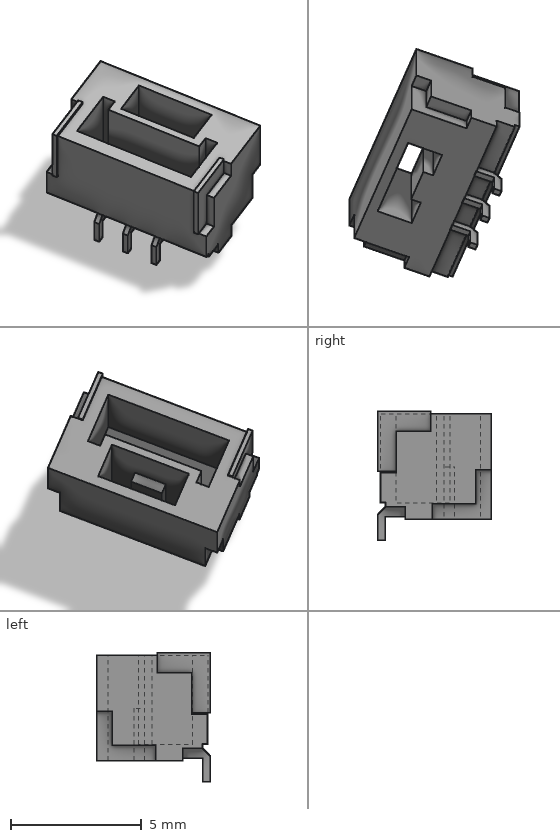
import cadquery as cq

length = 7.0
depth = 4.25
height = 4.045

lip_bottom = 0.645
lip_depth = 0.195
foot_top = 0.48
foot_front = 0.95

socket_length = 4.99
socket_front = 0.59
socket_back = 2.65
tongue_length = 3.98
tongue_front = 2.15
socket_floor = lip_bottom

window_length = 3.18
window_front = 2.435
window_back = 3.835
latch_length = 1.275
latch_back = 2.835
latch_top = height / 2

recess_depth = 0.5
plate_thickness = 0.19
overhang = 0.1
upper_back = 1.94
upper_arm_bottom = 3.38
upper_leg_back = 0.6
upper_bottom = 1.79
plate_bottom = 1.84
lower_front = 1.99
lower_arm_top = 0.595
lower_leg_front = 3.65
lower_top = 1.89

pin_count = 3
pin_pitch = 1.25
pin_width = 0.22
pin_underside = 0.1
pin_tip = -0.805
pin_bevel = lip_depth + overhang


def block(x_size, y_range, z_range):
    """Box centred on X, between the given Y and Z limits."""
    y_min, y_max = y_range
    z_min, z_max = z_range
    box = cq.Workplane("XY").box(x_size, y_max - y_min, z_max - z_min, centered=(True, False, False))
    return box.translate((0, y_min, z_min))


def side_profile(points, x_start, thickness):
    """Outline in (Y, Z), extruded toward +X from x_start."""
    return cq.Workplane("YZ").polyline(points).close().extrude(thickness).translate((x_start, 0, 0))


def both_ends(solid):
    """The solid together with its mirror image at the other end."""
    return solid.union(solid.mirror("YZ"))


def upper_l(front, bottom, top):
    """Outline of the L shape at the upper front of each end."""
    return [
        (front, bottom),
        (upper_leg_back, bottom),
        (upper_leg_back, upper_arm_bottom),
        (upper_back, upper_arm_bottom),
        (upper_back, top),
        (front, top),
    ]


def make_housing():
    outline = [
        (0, height),
        (0, lip_bottom),
        (lip_depth, lip_bottom),
        (lip_depth, foot_top),
        (foot_front, foot_top),
        (foot_front, 0),
        (depth, 0),
        (depth, height),
    ]
    return side_profile(outline, -length / 2, length)


def make_socket():
    z_range = (socket_floor, height)
    cavity = block(socket_length, (socket_front, socket_back), z_range)
    tongue = block(tongue_length, (tongue_front, socket_back), z_range)
    return cavity.cut(tongue)


def make_window():
    opening = block(window_length, (window_front, window_back), (0, height))
    latch = block(latch_length, (window_front, latch_back), (0, latch_top))
    return opening.cut(latch)


def make_end_recesses():
    upper = side_profile(upper_l(0, upper_bottom, height), -length / 2, recess_depth)
    lower_outline = [
        (depth, lower_top),
        (lower_leg_front, lower_top),
        (lower_leg_front, lower_arm_top),
        (lower_front, lower_arm_top),
        (lower_front, 0),
        (depth, 0),
    ]
    lower = side_profile(lower_outline, -length / 2, recess_depth)
    return both_ends(upper.union(lower))


def make_solder_plates():
    outline = upper_l(-overhang, plate_bottom, height + overhang)
    plate = side_profile(outline, -length / 2 + recess_depth - plate_thickness, plate_thickness)
    return both_ends(plate)


def make_pin(x_centre):
    outline = [
        (foot_front, foot_top),
        (lip_depth, foot_top),
        (-overhang, foot_top - pin_bevel),
        (-overhang, pin_tip),
        (lip_depth, pin_tip),
        (lip_depth, pin_underside),
        (foot_front, pin_underside),
    ]
    return side_profile(outline, x_centre - pin_width / 2, pin_width)


result = make_housing().cut(make_socket()).cut(make_window()).cut(make_end_recesses())
result = result.union(make_solder_plates())
for index in range(pin_count):
    result = result.union(make_pin((index - (pin_count - 1) / 2) * pin_pitch))